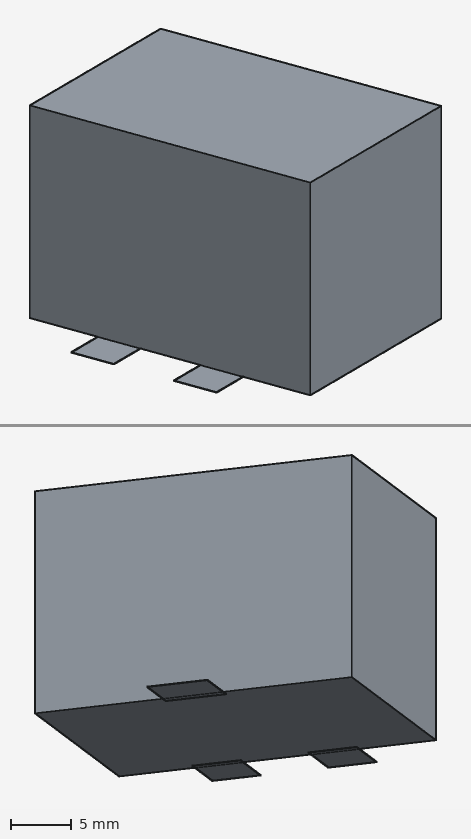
import cadquery as cq

housing_length = 27.9
housing_width = 19.0
housing_height = 19.05

lead_thickness = 0.05
front_lead_width = 4.25
front_lead_length = 4.5
front_lead_reach = 3.8
front_lead_spacing = 10.2
back_lead_width = 5.3
back_lead_length = 4.25
back_lead_reach = 3.65


def make_housing():
    """Plain block whose underside is at Z = 0."""
    return cq.Workplane("XY").box(
        housing_length, housing_width, housing_height, centered=(True, True, False)
    )


def make_lead(center_x, side, width, length, reach):
    """Flat strip under the housing; side is -1 for the -Y edge and +1 for the +Y edge."""
    center_y = side * (housing_width / 2 + reach - length / 2)
    return (
        cq.Workplane("XY")
        .box(width, length, lead_thickness)
        .translate((center_x, center_y, -lead_thickness / 2))
    )


housing = make_housing()

front_leads = []
for direction in (-1, 1):
    lead_x = direction * front_lead_spacing / 2
    front_leads.append(make_lead(lead_x, -1, front_lead_width, front_lead_length, front_lead_reach))

back_lead = make_lead(0, 1, back_lead_width, back_lead_length, back_lead_reach)

result = cq.Compound.makeCompound(
    [housing.val(), *[lead.val() for lead in front_leads], back_lead.val()]
)